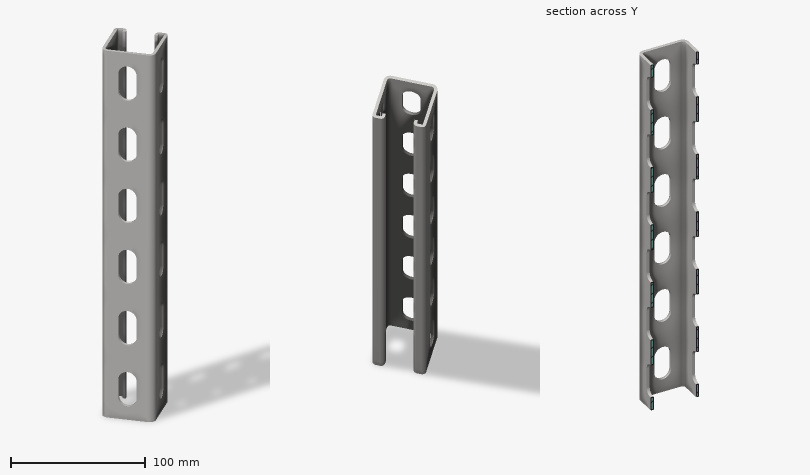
import cadquery as cq

WIDTH = 41.0
DEPTH = 41.0
LENGTH = 300.0
WALL = 2.5
MOUTH = 22.0
LIP_DEPTH = 5.5

BACK_BEND = 5.0
SHOULDER_BEND = 3.0
LIP_BEND = 3.0

SLOT_PITCH = 50.0
SLOT_COUNT = int(LENGTH / SLOT_PITCH)
SLOT_LENGTH = 28.0
BACK_SLOT_WIDTH = 14.0
SIDE_SLOT_WIDTH = 11.0


def box(x_min, x_max, y_min, y_max):
    """Full-length box given by its limits in X and Y."""
    return (
        cq.Workplane("XY", origin=((x_min + x_max) / 2, (y_min + y_max) / 2, 0))
        .rect(x_max - x_min, y_max - y_min)
        .extrude(LENGTH)
    )


def rounded_edges(body, radius, x_positions, y_position):
    """Round the lengthwise edges that stand at the given X positions and one Y position."""
    for x in x_positions:
        nearest = cq.selectors.NearestToPointSelector((x, y_position, LENGTH / 2))
        body = body.edges("|Z").edges(nearest).fillet(radius)
    return body


def channel():
    """Sheet channel with lips, all bends keeping the wall thickness."""
    side = WIDTH / 2
    back = -DEPTH / 2
    front = DEPTH / 2
    mouth = MOUTH / 2

    body = box(-side, side, back, front)
    body = body.cut(box(-side + WALL, side - WALL, back + WALL, front - LIP_DEPTH))
    body = body.cut(box(-mouth, mouth, front - LIP_DEPTH, front))
    for sign in (-1, 1):
        near, far = sorted((sign * (mouth + WALL), sign * (side - WALL)))
        body = body.cut(box(near, far, front - LIP_DEPTH, front - WALL))

    bends = (
        (BACK_BEND, side, back, side - WALL, back + WALL),
        (SHOULDER_BEND, side, front, side - WALL, front - WALL),
        (LIP_BEND, mouth, front, mouth + WALL, front - WALL),
    )
    for radius, outer_x, outer_y, inner_x, inner_y in bends:
        body = rounded_edges(body, radius, (-outer_x, outer_x), outer_y)
        body = rounded_edges(body, radius - WALL, (-inner_x, inner_x), inner_y)
    return body


def slot_row(plane, width, start, reach):
    """Round-ended slots standing along Z, cut from `start` over `reach` along the plane normal."""
    centres = [(0, SLOT_PITCH * (i + 0.5)) for i in range(SLOT_COUNT)]
    return (
        cq.Workplane(plane)
        .workplane(offset=start)
        .pushPoints(centres)
        .slot2D(SLOT_LENGTH, width, 90)
        .extrude(reach)
    )


back_slots = slot_row("XZ", BACK_SLOT_WIDTH, DEPTH / 2 - WALL, WALL)
side_slots = slot_row("YZ", SIDE_SLOT_WIDTH, -WIDTH / 2, WIDTH)

result = channel().cut(back_slots).cut(side_slots)